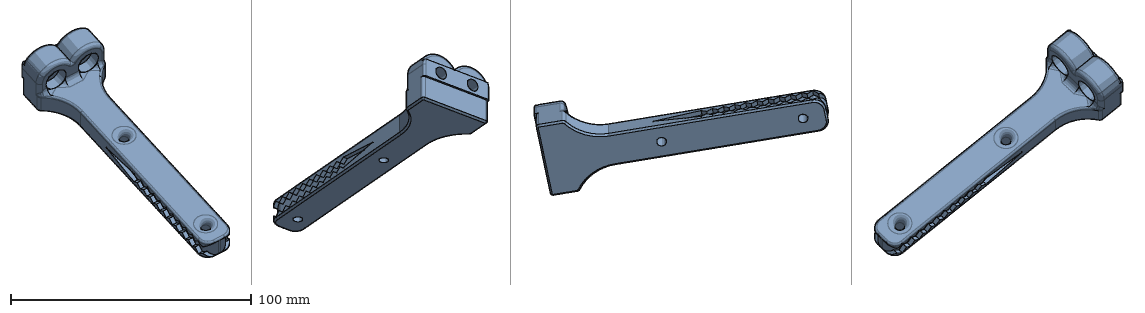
import cadquery as cq
import math

total_length = 121
head_width = 34.0
total_height = 24.5

pad_depth = 0.8
pad_bottom = 10.9
pad_top = 19.0
pad_root = 2.4
pad_round = 0.8
head_back = 13.0
head_front_round = 1.2
head_back_round = 1.9

lobe_spacing = 16.3
lobe_radius = 9.7
shoulder_top = 21.2
shoulder_bottom = 16.5

arm_width = 15.0
arm_thickness = 9.9
neck_radius = 20.0
arm_corner_radius = 5.0
top_round = 1.0
bottom_chamfer = 0.8
web_radius = 3.0

bolt_hole_diameter = 5.5
counterbore_diameter = 10.0
counterbore_depth = 4.8

screw_diameter = 4.0
screw_mouth_radius = 3.0
screw_positions = (51.0, 110.8)

recess_depth = 2.0
recess_tip = 48.6
tooth_pitch = 4.7
tooth_count = 11
first_peak, last_peak = 2.5, 4.0
first_valley, last_valley = 1.0, 2.0

half_head = head_width / 2
half_arm = arm_width / 2
lobe_y = lobe_spacing / 2
lobe_z = total_height - lobe_radius
bolt_z = arm_thickness + counterbore_diameter / 2
neck_rise = half_head - half_arm
neck_run = math.sqrt(neck_radius**2 - (neck_radius - neck_rise) ** 2)
neck_end = head_back + neck_run
web_end = head_back + web_radius

margin = 0.1


def make_plate():
    """Flat base: the arm flaring through two neck arcs into the head footprint."""
    plate = (
        cq.Workplane("XY")
        .moveTo(pad_depth, -half_head)
        .lineTo(head_back, -half_head)
        .radiusArc((neck_end, -half_arm), neck_radius)
        .lineTo(total_length, -half_arm)
        .lineTo(total_length, half_arm)
        .lineTo(neck_end, half_arm)
        .radiusArc((head_back, half_head), neck_radius)
        .lineTo(pad_depth, half_head)
        .close()
        .extrude(arm_thickness)
    )
    plate = plate.edges("|Z and >X").fillet(arm_corner_radius)
    plate = plate.edges("|Z and <X").fillet(head_front_round)
    neck_corners = cq.selectors.BoxSelector(
        (head_back - margin, -head_width, 0),
        (head_back + margin, head_width, arm_thickness),
    )
    return plate.edges("|Z").edges(neck_corners).fillet(head_back_round)


def make_head_profile(x_start, x_end, z_bottom):
    """Head cross-section with its two lobes and rounded shoulders, extruded along X."""
    shoulder_y = lobe_y + math.sqrt(lobe_radius**2 - (shoulder_top - lobe_z) ** 2)
    shoulder_run = half_head - shoulder_y
    shoulder_rise = shoulder_top - shoulder_bottom
    shoulder_radius = (shoulder_run**2 + shoulder_rise**2) / (2 * shoulder_run)
    cusp_z = lobe_z + math.sqrt(lobe_radius**2 - lobe_y**2)
    return (
        cq.Workplane("YZ", origin=(x_start, 0, 0))
        .moveTo(-half_head, z_bottom)
        .lineTo(half_head, z_bottom)
        .lineTo(half_head, shoulder_bottom)
        .radiusArc((shoulder_y, shoulder_top), -shoulder_radius)
        .threePointArc((lobe_y, total_height), (0, cusp_z))
        .threePointArc((-lobe_y, total_height), (-shoulder_y, shoulder_top))
        .radiusArc((-half_head, shoulder_bottom), -shoulder_radius)
        .close()
        .extrude(x_end - x_start)
    )


def make_head():
    """Head block with rounded front and back rims."""
    head = make_head_profile(pad_depth, head_back, bottom_chamfer)
    head = head.faces("<X").edges("not <Z").fillet(head_front_round)
    return head.faces(">X").edges("not <Z").fillet(head_back_round)


def make_pad():
    """Raised band across the front of the head, rounded at both ends."""
    band = (
        cq.Workplane("XY")
        .box(pad_root, head_width, pad_top - pad_bottom, centered=(False, True, False))
        .translate((0, 0, pad_bottom))
    )
    pad = make_head_profile(0, pad_root, pad_bottom).intersect(band)
    front_sides = pad.faces("<X").edges("(not >Z) and (not <Z)")
    return pad.newObject(front_sides.vals()).fillet(pad_round)


def add_web(body):
    """Concave round between the back of the head and the top of the arm."""
    corner = cq.selectors.BoxSelector(
        (head_back - margin, -half_arm, arm_thickness - margin),
        (head_back + margin, half_arm, arm_thickness + margin),
    )
    return body.edges("|Y").edges(corner).fillet(web_radius)


def make_bolt_cutter(y):
    """Bolt hole through the head with a counterbore sunk in from its back face."""
    axis = cq.Workplane("YZ", origin=(0, y, bolt_z))
    hole = axis.circle(bolt_hole_diameter / 2).extrude(head_back)
    counterbore_radius = counterbore_diameter / 2
    counterbore = (
        axis.workplane(offset=head_back - counterbore_depth)
        .circle(counterbore_radius)
        .extrude(counterbore_depth)
    )
    return hole.union(counterbore)


def make_web_notch(y, side):
    """Cut that pulls the web back towards the head where the counterbore leaves it no face.

    The web keeps its round section, but its foot moves from web_end to the head back over
    the distance in which the counterbore rim drops from the top of the web to the arm.
    """
    rim_drop = counterbore_diameter / 2 - web_radius
    notch_width = math.sqrt((counterbore_diameter / 2) ** 2 - rim_drop**2)
    web_top = arm_thickness + web_radius

    def section(section_y, foot_x):
        return (
            cq.Workplane("XZ", origin=(0, section_y, 0))
            .moveTo(foot_x - web_radius, web_top)
            .radiusArc((foot_x, arm_thickness), -web_radius)
            .lineTo(web_end + margin, arm_thickness)
            .lineTo(web_end + margin, web_top)
            .close()
            .val()
        )

    sections = [section(y, head_back), section(y + side * notch_width, web_end)]
    notch = cq.Workplane(cq.Solid.makeLoft(sections, True))
    behind_head = cq.Workplane("XY", origin=(head_back + total_length / 2, 0, 0)).box(
        total_length, 2 * head_width, 2 * total_height
    )
    return notch.intersect(behind_head)


def make_screw_cutter(x):
    """Screw hole opening into a rounded, trumpet-shaped mouth at the top."""
    hole_radius = screw_diameter / 2
    mouth_edge = hole_radius + screw_mouth_radius
    mouth_start = arm_thickness - screw_mouth_radius
    return (
        cq.Workplane("XZ")
        .lineTo(hole_radius, 0)
        .lineTo(hole_radius, mouth_start)
        .radiusArc((mouth_edge, arm_thickness), screw_mouth_radius)
        .lineTo(0, arm_thickness)
        .close()
        .revolve(360, (0, 0, 0), (0, 1, 0))
        .translate((x, 0, 0))
    )


def make_recess_cutter(side, outline):
    """Serrated wedge of constant depth in one side of the arm (side is -1 or 1)."""
    upper = []
    for tooth in range(tooth_count + 1):
        x = total_length - (tooth_count - tooth) * tooth_pitch
        along = tooth / tooth_count
        peak = first_peak + along * (last_peak - first_peak)
        valley = first_valley + along * (last_valley - first_valley)
        upper.append((x, peak))
        upper.append((x + tooth_pitch / 2, valley))
    lower = [(x, -height) for x, height in reversed(upper)]
    wedge = (
        cq.Workplane("XZ", origin=(0, 0, arm_thickness / 2))
        .polyline([(recess_tip, 0)] + upper + lower)
        .close()
        .extrude(-side * half_head)
    )
    return wedge.cut(outline.translate((0, -side * recess_depth, 0)))


outline = make_plate()
plate = outline.faces("<Z").edges().chamfer(bottom_chamfer)
plate = plate.faces(">Z").edges().fillet(top_round)
result = add_web(plate.union(make_head())).union(make_pad())

for y in (-lobe_y, lobe_y):
    result = result.cut(make_bolt_cutter(y))
    for side in (-1, 1):
        result = result.cut(make_web_notch(y, side))
for x in screw_positions:
    result = result.cut(make_screw_cutter(x))
for side in (-1, 1):
    result = result.cut(make_recess_cutter(side, outline))